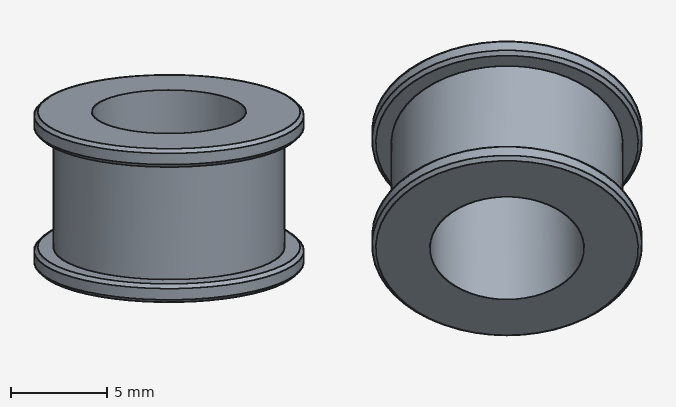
import cadquery as cq

flange_diameter = 14.0
barrel_diameter = 12.0
bore_diameter = 8.0
total_height = 8.3
flange_thickness = 1.0
flange_chamfer = 0.2


def flange(bottom_z):
    """Flange disc with both rim edges chamfered."""
    disc = cq.Workplane("XY").workplane(offset=bottom_z)
    disc = disc.circle(flange_diameter / 2).extrude(flange_thickness)
    return disc.edges().chamfer(flange_chamfer)


spool = cq.Workplane("XY").circle(barrel_diameter / 2).extrude(total_height)
for bottom_z in (0, total_height - flange_thickness):
    spool = spool.union(flange(bottom_z))

bore = cq.Workplane("XY").circle(bore_diameter / 2).extrude(total_height)
result = spool.cut(bore)